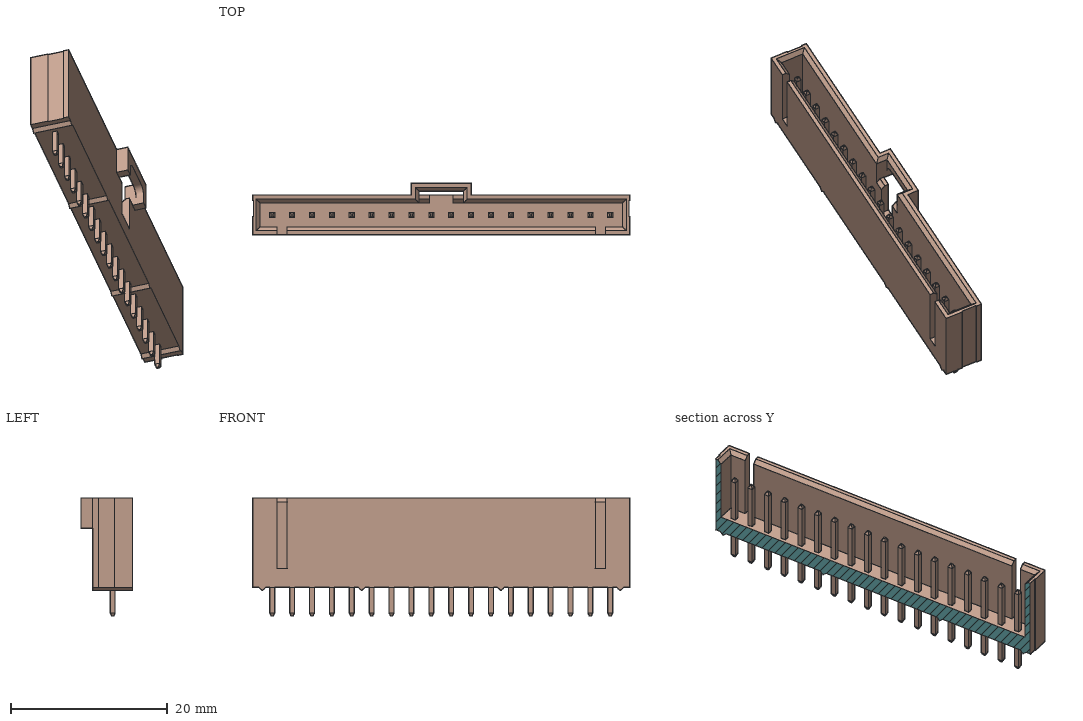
import cadquery as cq

pin_count = 18
pitch = 2.54
pin_width = 0.65
pin_tip_width = 0.25
pin_tip_length = 0.4
pin_mating_length = 6.35
overall_height = 15.11

end_margin = 2.5
housing_length = (pin_count - 1) * pitch + 2 * end_margin
housing_height = 11.43
front_y = -2.54
back_y = 2.56
housing_depth = back_y - front_y
pin_bottom_z = housing_height - overall_height

floor_z = 2.43
end_wall = 0.95
long_wall = 1.03
lead_in = 0.5

overall_depth = 6.6
hood_back_y = front_y + overall_depth
hood_length = 7.7
hood_height = 3.9
hood_bottom_z = housing_height - hood_height
low_wall_rise = 0.1
low_wall_z = hood_bottom_z + low_wall_rise
hood_inner_length = hood_length - 2 * long_wall
hood_window_top = 1.65
hood_window_radius = 1.1
back_notch_width = 3.0

slot_width = 1.3
slot_pitches = 8
slot_offset = slot_pitches * pitch

groove_depth = 0.1
groove_width = 2.05
groove_setback = 2.33
groove_start_y = front_y + groove_setback
groove_end_y = groove_start_y + groove_width

rib_half_width = 0.46
rib_drop = 0.42
rib_pitches = [-9, -4, 3, 9]


def block(x_range, y_range, z_range):
    """Box between the given limits on each axis."""
    sizes = [high - low for low, high in (x_range, y_range, z_range)]
    corner = (x_range[0], y_range[0], z_range[0])
    return cq.Workplane("XY").box(*sizes, centered=False).translate(corner)


def centred(width, middle=0.0):
    """Limits of a span of the given width about its middle."""
    return (middle - width / 2, middle + width / 2)


def tapered_mouth(x_range, y_range, top_z):
    """45 degree lead-in that widens a rectangular opening up to top_z."""
    length = x_range[1] - x_range[0]
    depth = y_range[1] - y_range[0]
    middle = (sum(x_range) / 2, sum(y_range) / 2)
    return (
        cq.Workplane("XY", origin=(*middle, top_z - lead_in))
        .rect(length, depth)
        .workplane(offset=lead_in)
        .rect(length + 2 * lead_in, depth + 2 * lead_in)
        .loft(ruled=True)
    )


def make_shell():
    """Housing and hood, hollowed out, with the lead-in chamfer around the mouth."""
    shell = block(centred(housing_length), (front_y, back_y), (0, housing_height))
    hood = block(centred(hood_length), (back_y, hood_back_y), (hood_bottom_z, housing_height))
    shell = shell.union(hood)

    cavity_x = centred(housing_length - 2 * end_wall)
    cavity_y = (front_y + long_wall, back_y - long_wall)
    shell = shell.cut(block(cavity_x, cavity_y, (floor_z, housing_height)))
    shell = shell.cut(tapered_mouth(cavity_x, cavity_y, housing_height))

    hood_x = centred(hood_inner_length)
    hood_y = (cavity_y[0], hood_back_y - long_wall)
    hood_tunnel_y = (back_y, hood_y[1])
    shell = shell.cut(block(hood_x, hood_tunnel_y, (hood_bottom_z, housing_height)))
    shell = shell.cut(block(hood_x, hood_y, (low_wall_z, housing_height)))
    hood_mouth_y = (cavity_y[0] + lead_in, hood_y[1])
    shell = shell.cut(tapered_mouth(hood_x, hood_mouth_y, housing_height))

    low_wall_mouth = tapered_mouth(cavity_x, cavity_y, low_wall_z)
    low_wall_zone = block(hood_x, (0, back_y), (floor_z, low_wall_z))
    return shell.cut(low_wall_mouth.intersect(low_wall_zone))


def make_hood_window():
    """Opening in the back plate of the hood, open at the bottom, with rounded upper corners."""
    top_z = housing_height - hood_window_top
    window = block(centred(hood_inner_length), (back_y, hood_back_y), (hood_bottom_z, top_z))
    return window.edges("|Y and >Z").fillet(hood_window_radius)


def make_back_notch():
    """Opening in the low back wall, down to the cavity floor."""
    return block(centred(back_notch_width), (0, back_y), (floor_z, low_wall_z))


def make_front_slot(side):
    """Slot through the front wall, from the cavity floor to the top."""
    return block(centred(slot_width, side * slot_offset), (front_y, 0), (floor_z, housing_height))


def make_end_groove(side):
    """Full-height groove in one end face."""
    middle = side * (housing_length - groove_depth) / 2
    return block(centred(groove_depth, middle), (groove_start_y, groove_end_y), (0, housing_height))


def make_rib(x):
    """V-shaped rib running the full depth of the underside."""
    return (
        cq.Workplane("XZ", origin=(x, back_y, 0))
        .polyline([(-rib_half_width, 0), (rib_half_width, 0), (0, -rib_drop)])
        .close()
        .extrude(housing_depth)
    )


def make_pin(x):
    """Square pin with a pyramidal tip at both ends."""
    top_z = floor_z + pin_mating_length
    straight_z = (pin_bottom_z + pin_tip_length, top_z - pin_tip_length)
    pin = block(centred(pin_width, x), centred(pin_width), straight_z)
    for start_z, direction in zip(straight_z, (-1, 1)):
        tip = (
            cq.Workplane("XY", origin=(x, 0, start_z))
            .rect(pin_width, pin_width)
            .workplane(offset=direction * pin_tip_length)
            .rect(pin_tip_width, pin_tip_width)
            .loft(ruled=True)
        )
        pin = pin.union(tip)
    return pin


result = make_shell()
for rib_pitch in rib_pitches:
    result = result.union(make_rib(rib_pitch * pitch))
result = result.cut(make_hood_window()).cut(make_back_notch())
for end in (-1, 1):
    result = result.cut(make_front_slot(end)).cut(make_end_groove(end))
for index in range(pin_count):
    result = result.union(make_pin((index - (pin_count - 1) / 2) * pitch))